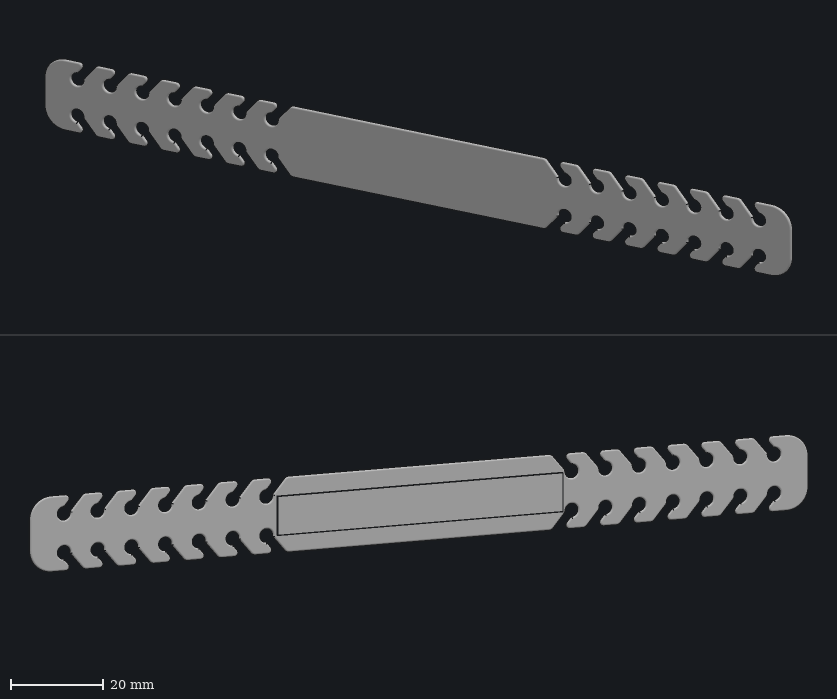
import cadquery as cq
import math

length = 180.0
height = 17.0
overall_thickness = 1.5
strap_thickness = 1.0
end_radius = 5.0
edge_radius = 0.49

panel_length = 65.9
panel_height = 8.6

notches_per_row = 7
end_to_first_eye = 8.0
first_to_last_eye = 46.8
notch_pitch = first_to_last_eye / (notches_per_row - 1)
eye_height = 4.3
eye_radius = 1.5
throat_width = 1.76
throat_angle = 50.0
tip_radius = 0.9
shoulder_radius = 1.3

front_y = -overall_thickness / 2
strap_middle_y = front_y + strap_thickness / 2


def strap_slab(outline):
    """Extrude an XZ outline through the thickness of the strap."""
    return outline.extrude(-strap_thickness).translate((0, front_y, 0))


def make_strip():
    """Flat strip with rounded corners, centred in X and Z."""
    strip = strap_slab(cq.Workplane("XZ").rect(length, height))
    return strip.edges("|Y").fillet(end_radius)


def make_notch():
    """Cutter for one upper-left notch, its eye at X = 0, with rounded mouth corners."""
    edge_z = height / 2
    slope = math.radians(throat_angle)
    mouth_x = (edge_z - eye_height) / math.tan(slope)
    half_mouth = throat_width / 2 / math.sin(slope)

    eye_plane = cq.Workplane("XZ").center(0, eye_height)
    eye = strap_slab(eye_plane.circle(eye_radius))
    throat_length = height
    throat = strap_slab(
        eye_plane.transformed(rotate=(0, 0, throat_angle))
        .center(throat_length / 2, 0)
        .rect(throat_length, throat_width)
    )

    sample = strap_slab(cq.Workplane("XZ").rect(4 * notch_pitch, height))
    notched = sample.cut(eye).cut(throat)
    for corner_x, radius in (
        (mouth_x - half_mouth, tip_radius),
        (mouth_x + half_mouth, shoulder_radius),
    ):
        corner = cq.selectors.NearestToPointSelector((corner_x, strap_middle_y, edge_z))
        notched = notched.edges("|Y").edges(corner).fillet(radius)
    return sample.cut(notched)


def cut_notches(strip):
    """Cut a row of notches at each end of both long edges, all opening towards the middle."""
    upper_left = make_notch()
    upper_right = upper_left.mirror("YZ")
    first_eye_x = length / 2 - end_to_first_eye
    for index in range(notches_per_row):
        eye_x = first_eye_x - index * notch_pitch
        left = upper_left.translate((-eye_x, 0, 0))
        right = upper_right.translate((eye_x, 0, 0))
        for notch in (left, right):
            strip = strip.cut(notch).cut(notch.mirror("XY"))
    return strip


def make_panel():
    """Raised panel, rooted in the middle of the strap and ending at the full thickness."""
    depth = overall_thickness / 2 - strap_middle_y
    panel = cq.Workplane("XZ").rect(panel_length, panel_height).extrude(-depth)
    return panel.translate((0, strap_middle_y, 0))


strap = cut_notches(make_strip())
strap = strap.faces("<Y or >Y").edges().fillet(edge_radius)
result = strap.union(make_panel())